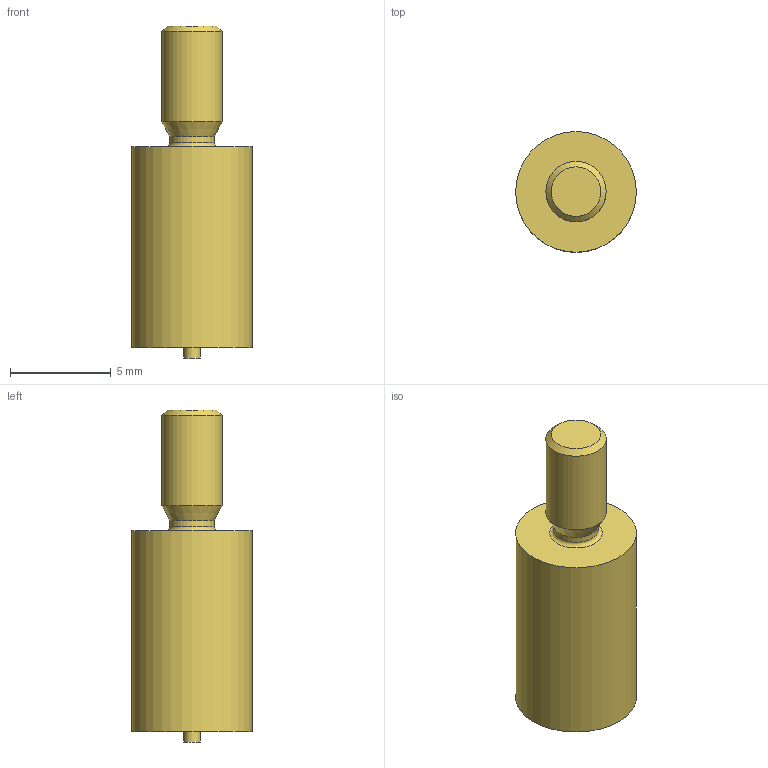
import cadquery as cq

body_diameter = 6.0
stud_diameter = 3.0
neck_diameter = 2.2
pin_diameter = 0.8

body_length = 10.0
stud_length = 6.0
pin_length = 0.5

neck_height = 0.5
cone_height = 0.75
neck_fillet = 0.2
tip_chamfer = 0.27


def make_body():
    return cq.Workplane("XY").circle(body_diameter / 2).extrude(body_length)


def make_pin():
    """Small pin standing out below the body."""
    return cq.Workplane("XY").circle(pin_diameter / 2).extrude(-pin_length)


def make_stud():
    """Stud with a filleted neck, a widening cone and a chamfered tip, as a revolved profile."""
    neck_radius = neck_diameter / 2
    stud_radius = stud_diameter / 2
    cone_start = body_length + neck_height
    tip = body_length + stud_length

    return (
        cq.Workplane("XZ")
        .moveTo(0, body_length)
        .lineTo(neck_radius + neck_fillet, body_length)
        .radiusArc((neck_radius, body_length + neck_fillet), neck_fillet)
        .lineTo(neck_radius, cone_start)
        .lineTo(stud_radius, cone_start + cone_height)
        .lineTo(stud_radius, tip - tip_chamfer)
        .lineTo(stud_radius - tip_chamfer, tip)
        .lineTo(0, tip)
        .close()
        .revolve(360, (0, 0, 0), (0, 1, 0))
    )


result = make_body().union(make_stud()).union(make_pin())